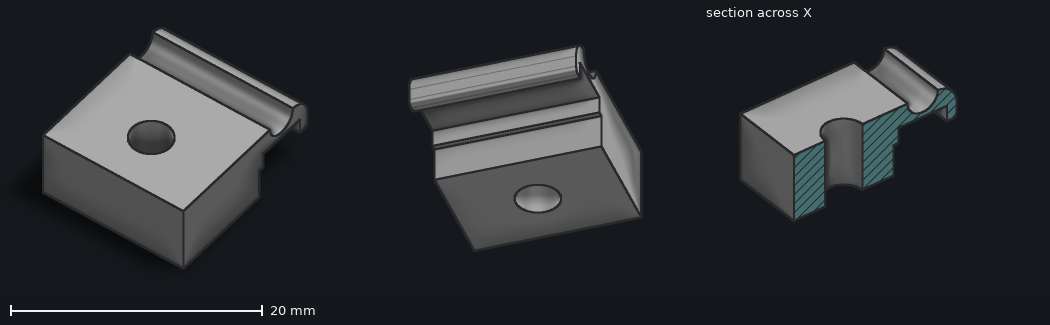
import cadquery as cq

width = 14.0
length = 16.3
height = 6.5

block_length = 10.0
step_length = 10.5
step_height = 3.0

slot_roof_height = 4.5
lip_thickness = 1.0
lip_top_radius = 2.0
lip_bottom_radius = 0.5

groove_radius = 1.5
groove_center_y = 12.9

hole_diameter = 3.7
hole_center_y = block_length / 2

lip_inner_y = length - lip_thickness


def extruded_profile():
    """Side outline in the YZ plane, extruded over the full width along X."""
    return (
        cq.Workplane("YZ")
        .polyline([
            (0, 0),
            (block_length, 0),
            (block_length, step_height),
            (step_length, step_height),
            (step_length, slot_roof_height),
            (lip_inner_y, slot_roof_height),
            (lip_inner_y, step_height),
            (length, step_height),
            (length, height),
            (0, height),
        ])
        .close()
        .extrude(width / 2, both=True)
    )


def round_lip(body):
    """Round the outer top and bottom edges of the lip."""
    body = body.faces(">Y").edges(">Z").fillet(lip_top_radius)
    return body.faces(">Y").edges("<Z").fillet(lip_bottom_radius)


def groove_cutter():
    return (
        cq.Workplane("YZ")
        .center(groove_center_y, height)
        .circle(groove_radius)
        .extrude(width / 2, both=True)
    )


def hole_cutter():
    return (
        cq.Workplane("XY")
        .center(0, hole_center_y)
        .circle(hole_diameter / 2)
        .extrude(height)
    )


result = round_lip(extruded_profile()).cut(groove_cutter()).cut(hole_cutter())